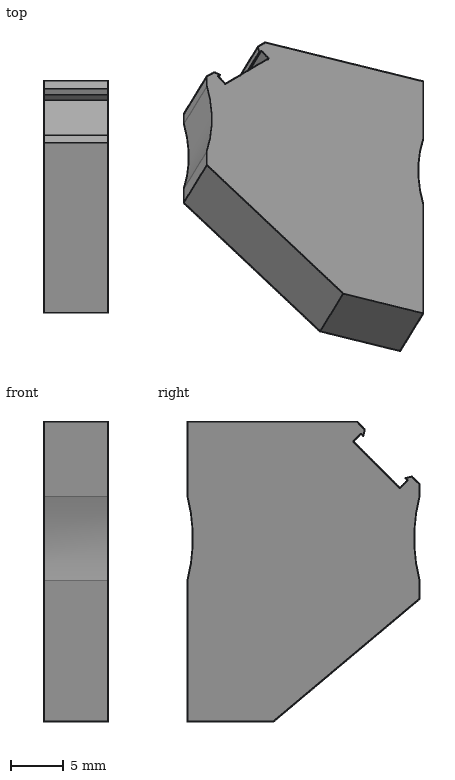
import cadquery as cq
import math

thickness = 6.15
depth = 22.3
height = 28.8

foot_depth = 8.25
underside_angle = 40.0
underside_top = (depth - foot_depth) * math.tan(math.radians(underside_angle))

grip_center_z = 17.6
grip_chord = 8.06
grip_sagitta = 0.51

top_edge_end = 16.32
slot_floor_y = 18.17
slot_floor_z = slot_floor_y + height - depth
slot_half_width = 3.16
slot_wall_height = 1.05

floor_corner = (slot_half_width, 0.0)
neck_corner = (slot_half_width, slot_wall_height)
hook_tip = (2.85, slot_wall_height)
crown_corner = (3.17, 1.58)
lip_corners = [crown_corner, hook_tip, neck_corner, floor_corner]


def slot_point(offset, rise):
    """Turn a position along the slot floor and above it into (y, z)."""
    half_diagonal = math.sqrt(0.5)
    y = slot_floor_y + (rise - offset) * half_diagonal
    z = slot_floor_z + (rise + offset) * half_diagonal
    return (y, z)


def slot_outline():
    """Points from the upper lip's crown, over the floor, to the lower crown."""
    upper_lip = [slot_point(offset, rise) for offset, rise in lip_corners]
    lower_lip = [slot_point(-offset, rise) for offset, rise in reversed(lip_corners)]
    return upper_lip + lower_lip


def plate_profile():
    """Closed outline of the plate in the YZ plane."""
    grip_bottom = grip_center_z - grip_chord / 2
    grip_top = grip_center_z + grip_chord / 2
    lower_lip_end = top_edge_end + height - depth

    profile = cq.Workplane("YZ").moveTo(0, 0)
    profile = profile.lineTo(0, grip_bottom)
    profile = profile.threePointArc((grip_sagitta, grip_center_z), (0, grip_top))
    profile = profile.lineTo(0, height).lineTo(top_edge_end, height)
    for y, z in slot_outline():
        profile = profile.lineTo(y, z)
    profile = profile.lineTo(depth, lower_lip_end).lineTo(depth, grip_top)
    profile = profile.threePointArc((depth - grip_sagitta, grip_center_z), (depth, grip_bottom))
    profile = profile.lineTo(depth, underside_top).lineTo(foot_depth, 0)
    return profile.close()


result = plate_profile().extrude(thickness / 2, both=True)